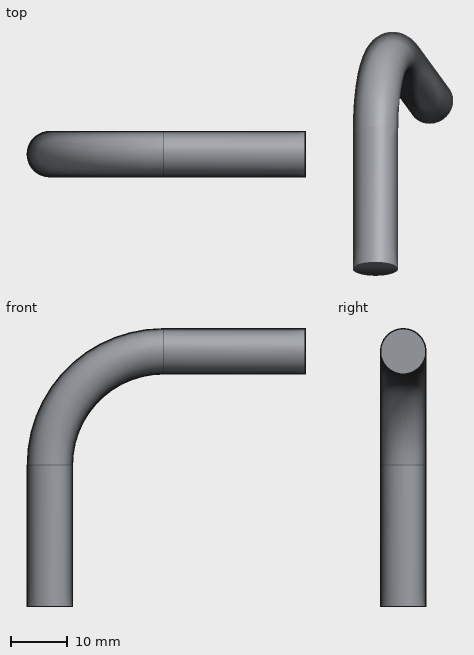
import cadquery as cq

bar_diameter = 8.0
bend_radius = 20.0
leg_length = 25.0
bend_angle = 90.0


def make_leg():
    """Upright leg, rising from the origin to the start of the bend."""
    return cq.Workplane("XY").circle(bar_diameter / 2).extrude(leg_length)


def make_bend():
    """Quarter torus from the top of the upright leg round to the +X direction."""
    return (
        cq.Workplane("XY", origin=(0, 0, leg_length))
        .circle(bar_diameter / 2)
        .revolve(bend_angle, (bend_radius, 0, 0), (bend_radius, 1, 0))
    )


def make_arm():
    """Horizontal leg, running along +X from the end of the bend."""
    return (
        cq.Workplane("YZ", origin=(bend_radius, 0, leg_length + bend_radius))
        .circle(bar_diameter / 2)
        .extrude(leg_length)
    )


result = make_leg().union(make_bend()).union(make_arm())